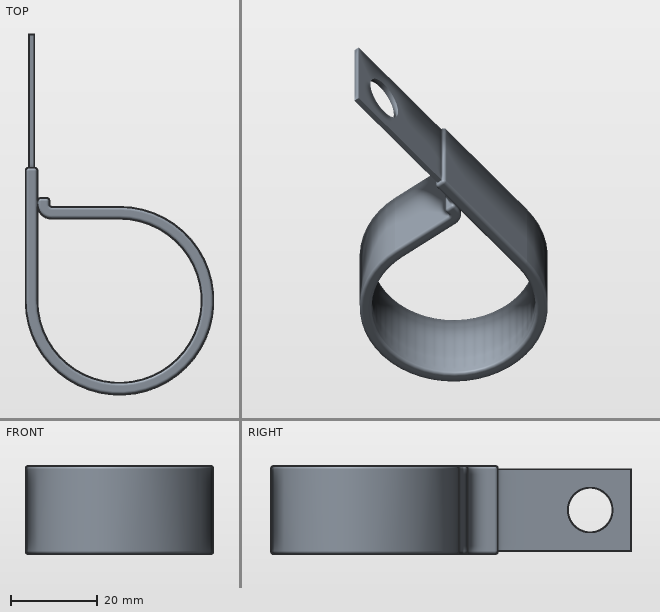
import cadquery as cq
import math

strap_width = 19.05
strap_thickness = 1.27
hole_diameter = 10.32
hole_to_tip = strap_width / 2

cushion = 0.762
jacket_thickness = strap_thickness + 2 * cushion
jacket_height = strap_width + 2 * cushion
edge_radius = 0.75

loop_inner_radius = 19.05
loop_outer_radius = loop_inner_radius + jacket_thickness
loop_mid_angle = -45
loop_middle_radius = loop_inner_radius + jacket_thickness / 2

leg_length = 30.95
tab_tip_y = 61.9

lip_inner_bend = 0.5
lip_outer_bend = lip_inner_bend + jacket_thickness
lip_mid_angle = 225
lip_tip_y = 23.9
lip_left_x = -loop_inner_radius
lip_right_x = lip_left_x + jacket_thickness
bend_x = lip_left_x + lip_outer_bend
bend_y = loop_outer_radius + lip_inner_bend

bottom_z = -jacket_height / 2


def arc_midpoint(center_x, center_y, radius, angle):
    """Point at the given angle in degrees on a circle."""
    radians = math.radians(angle)
    return (center_x + radius * math.cos(radians), center_y + radius * math.sin(radians))


def round_free_edges(body):
    """Round every edge of the two flat sides and the +Y end, leaving the joint at y = 0 sharp."""
    half_box = (jacket_thickness, edge_radius / 2, jacket_height)
    joint_box = cq.selectors.BoxSelector(
        (-loop_middle_radius - half_box[0], -half_box[1], -half_box[2]),
        (-loop_middle_radius + half_box[0], half_box[1], half_box[2]),
    )
    free_edges = cq.selectors.InverseSelector(joint_box)
    return body.faces("|Z or >Y").edges(free_edges).fillet(edge_radius)


def make_leg():
    leg = (
        cq.Workplane("XY", origin=(-loop_middle_radius, leg_length / 2, 0))
        .box(jacket_thickness, leg_length, jacket_height)
    )
    return round_free_edges(leg)


def make_loop_with_lip():
    """Three-quarter loop, straight arm and upturned lip as one constant-thickness band."""
    outer_mid = arc_midpoint(0, 0, loop_outer_radius, loop_mid_angle)
    inner_mid = arc_midpoint(0, 0, loop_inner_radius, loop_mid_angle)
    lip_inner_mid = arc_midpoint(bend_x, bend_y, lip_inner_bend, lip_mid_angle)
    lip_outer_mid = arc_midpoint(bend_x, bend_y, lip_outer_bend, lip_mid_angle)
    band = (
        cq.Workplane("XY", origin=(0, 0, bottom_z))
        .moveTo(-loop_outer_radius, 0)
        .threePointArc(outer_mid, (0, loop_outer_radius))
        .lineTo(bend_x, loop_outer_radius)
        .threePointArc(lip_inner_mid, (lip_right_x, bend_y))
        .lineTo(lip_right_x, lip_tip_y)
        .lineTo(lip_left_x, lip_tip_y)
        .lineTo(lip_left_x, bend_y)
        .threePointArc(lip_outer_mid, (bend_x, loop_inner_radius))
        .lineTo(0, loop_inner_radius)
        .threePointArc(inner_mid, (-loop_inner_radius, 0))
        .close()
        .extrude(jacket_height)
    )
    return round_free_edges(band)


def make_tab():
    """Bare strap with its mounting hole; its root is buried in the leg."""
    root_y = leg_length / 2
    tab_length = tab_tip_y - root_y
    tab = (
        cq.Workplane("XY", origin=(-loop_middle_radius, root_y + tab_length / 2, 0))
        .box(strap_thickness, tab_length, strap_width)
    )
    hole = (
        cq.Workplane("YZ", origin=(-loop_middle_radius, tab_tip_y - hole_to_tip, 0))
        .circle(hole_diameter / 2)
        .extrude(strap_thickness, both=True)
    )
    return tab.cut(hole)


result = make_loop_with_lip().union(make_leg()).union(make_tab())